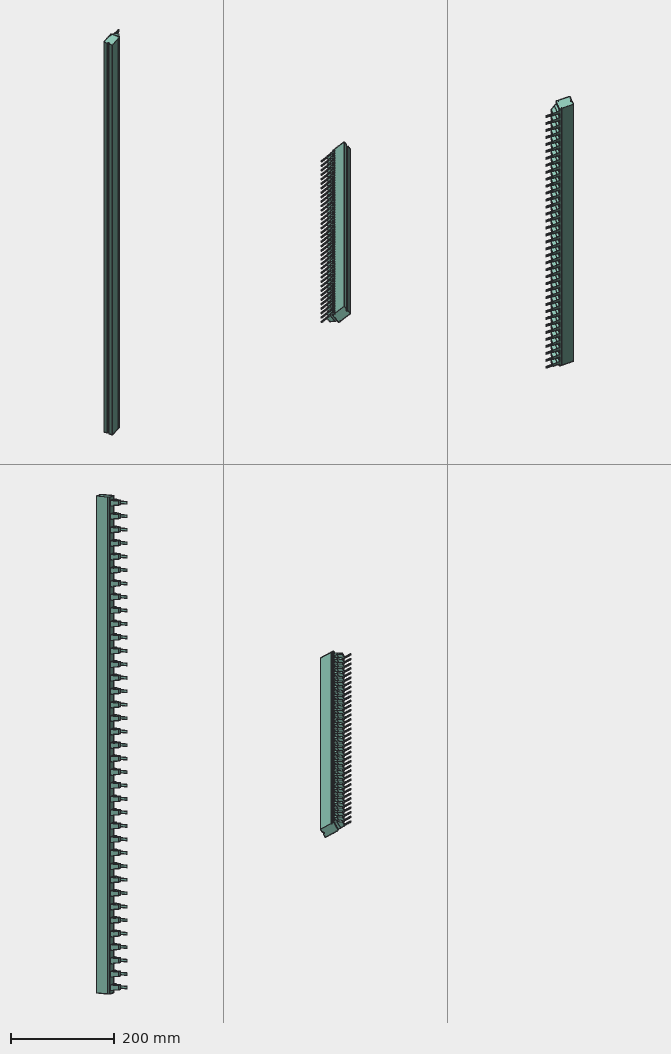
import math

import cadquery as cq

rail_width = 19.3
rail_depth = 29.05
rail_length = 974.6
front_chamfer = 0.5
back_chamfer = 1.0
left_x = -rail_width / 2

groove_wall_angle = 75.0
wall_slope = math.tan(math.radians(groove_wall_angle))

front_groove_width = 4.2
front_groove_depth = 2.44

side_groove_y = 24.38
side_groove_width = 0.9
side_groove_depth = side_groove_width / 2 * wall_slope

finger_count = 37
finger_pitch = 26.4
first_finger_z = 12.1

foot_height = 12.7
foot_depth = 3.0

root_width = 17.1
root_height = 10.9
step_y = 34.2
step_width = 14.75
outer_height = 9.0
shoulder_y = 42.9
shoulder_width = 9.3

blade_thickness = 1.2
blade_height = 5.0
blade_end_y = 56.8


def make_rail():
    rail = cq.Workplane("XY").box(rail_width, rail_depth, rail_length, centered=(True, False, False))
    rail = rail.edges("|Z and <Y").chamfer(front_chamfer)
    return rail.edges("|Z and >Y").chamfer(back_chamfer)


def make_front_groove():
    half_mouth = front_groove_width / 2
    half_floor = half_mouth - front_groove_depth / wall_slope
    outline = [
        (-half_mouth, 0),
        (half_mouth, 0),
        (half_floor, front_groove_depth),
        (-half_floor, front_groove_depth),
    ]
    return cq.Workplane("XY").polyline(outline).close().extrude(rail_length)


def make_side_groove(side):
    """V groove on the left (side = -1) or right (side = 1) face."""
    face_x = side * rail_width / 2
    outline = [
        (face_x, side_groove_y - side_groove_width / 2),
        (face_x - side * side_groove_depth, side_groove_y),
        (face_x, side_groove_y + side_groove_width / 2),
    ]
    return cq.Workplane("XY").polyline(outline).close().extrude(rail_length)


def make_taper(start_y, start_width, end_y, end_width, height):
    """Block centred on z = 0 with a straight left side and a sloping right side."""
    outline = [
        (left_x, start_y),
        (left_x + start_width, start_y),
        (left_x + end_width, end_y),
        (left_x, end_y),
    ]
    return cq.Workplane("XY").polyline(outline).close().extrude(height / 2, both=True)


def make_finger():
    """One finger, centred on z = 0."""
    foot = make_taper(rail_depth - foot_depth, root_width, rail_depth, root_width, foot_height)
    root = make_taper(rail_depth, root_width, step_y, step_width, root_height)
    outer = make_taper(step_y, step_width, shoulder_y, shoulder_width, outer_height)
    blade = make_taper(shoulder_y, blade_thickness, blade_end_y, blade_thickness, blade_height)
    return foot.union(root).union(outer).union(blade).val()


rail = make_rail().cut(make_front_groove())
for side in (-1, 1):
    rail = rail.cut(make_side_groove(side))

finger = make_finger()
fingers = []
for index in range(finger_count):
    finger_z = first_finger_z + index * finger_pitch
    fingers.append(finger.translate(cq.Vector(0, 0, finger_z)))

fused = rail.val().fuse(*fingers).clean()
result = cq.Workplane("XY").newObject(fused.Solids())